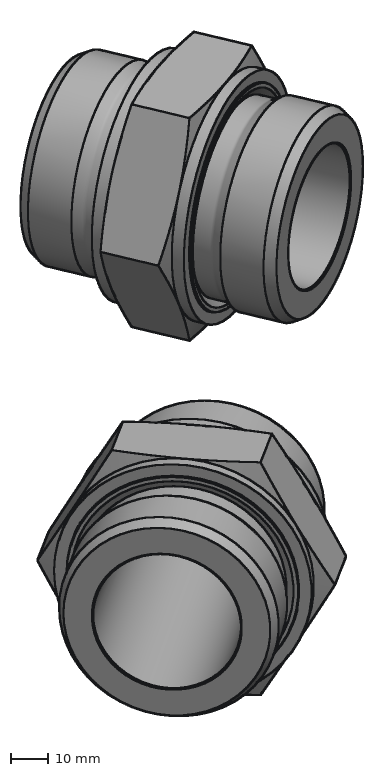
import cadquery as cq
import math

total_length = 75.0
bore_diameter = 40.0
bore_chamfer = 0.3

thread_diameter = 59.6
end_face_diameter = 56.1
neck_diameter = 55.9
thread_inner_x = 21.8
flank_angle = 30
runout_fillet = 1.8

flange_diameter = 69.8
flange_half_width = 13.5
hex_across_corners = 80.7
hex_half_width = 9.9
hex_chamfer_angle = 15

recess_diameter = 63.05
recess_depth = 2.4
seal_diameter = 62.7
seal_protrusion = 0.5
seal_mouth_diameter = 60.2
seal_countersink_depth = 1.3

half_length = total_length / 2
neck_radius = neck_diameter / 2
thread_radius = thread_diameter / 2
flange_radius = flange_diameter / 2
recess_floor_x = flange_half_width - recess_depth
seal_face_x = flange_half_width + seal_protrusion


def revolve_about_x(profile):
    """Revolve a closed XY profile, with Y as radius, about the X axis."""
    return profile.revolve(360, (0, 0, 0), (1, 0, 0))


def make_spigot_half():
    """Turned half of the body from the middle plane to the +X end."""
    slope = math.tan(math.radians(flank_angle))
    end_chamfer = (thread_diameter - end_face_diameter) / 2 / slope
    neck_end_x = thread_inner_x - (thread_radius - neck_radius) / slope

    tangent = runout_fillet * math.tan(math.radians(flank_angle / 2))
    fillet_start = (neck_end_x - tangent, neck_radius)
    fillet_end = (
        neck_end_x + tangent * math.cos(math.radians(flank_angle)),
        neck_radius + tangent * math.sin(math.radians(flank_angle)),
    )
    fillet_middle = (
        fillet_start[0] + runout_fillet * math.sin(math.radians(flank_angle / 2)),
        neck_radius + runout_fillet * (1 - math.cos(math.radians(flank_angle / 2))),
    )

    return revolve_about_x(
        cq.Workplane("XY")
        .moveTo(0, 0)
        .lineTo(0, flange_radius)
        .lineTo(flange_half_width, flange_radius)
        .lineTo(flange_half_width, recess_diameter / 2)
        .lineTo(recess_floor_x, recess_diameter / 2)
        .lineTo(recess_floor_x, neck_radius)
        .lineTo(*fillet_start)
        .threePointArc(fillet_middle, fillet_end)
        .lineTo(thread_inner_x, thread_radius)
        .lineTo(half_length - end_chamfer, thread_radius)
        .lineTo(half_length, end_face_diameter / 2)
        .lineTo(half_length, 0)
        .close()
    )


def make_hexagon():
    """Hexagon with corners on the Y axis and conically chamfered ends."""
    corner_radius = hex_across_corners / 2
    corner_drop = (corner_radius - flange_radius) * math.tan(math.radians(hex_chamfer_angle))
    corner_half_width = hex_half_width - corner_drop
    prism = (
        cq.Workplane("YZ")
        .polygon(6, hex_across_corners)
        .extrude(hex_half_width, both=True)
    )
    chamfer_envelope = revolve_about_x(
        cq.Workplane("XY").polyline([
            (-hex_half_width, 0),
            (-hex_half_width, flange_radius),
            (-corner_half_width, corner_radius),
            (corner_half_width, corner_radius),
            (hex_half_width, flange_radius),
            (hex_half_width, 0),
        ]).close()
    )
    return prism.intersect(chamfer_envelope)


def make_bore():
    """Cutter for the through bore with a small chamfer at each mouth."""
    bore_radius = bore_diameter / 2
    mouth_radius = bore_radius + bore_chamfer
    straight_end = half_length - bore_chamfer
    return revolve_about_x(
        cq.Workplane("XY").polyline([
            (-half_length, 0),
            (-half_length, mouth_radius),
            (-straight_end, bore_radius),
            (straight_end, bore_radius),
            (half_length, mouth_radius),
            (half_length, 0),
        ]).close()
    )


def make_body():
    """Double-ended threaded connector with its hexagon."""
    half = make_spigot_half()
    return half.union(half.mirror("YZ")).union(make_hexagon()).cut(make_bore())


def make_seal_ring(side):
    """Seal ring for the +X (side = 1) or -X (side = -1) flange face."""
    return revolve_about_x(
        cq.Workplane("XY").polyline([
            (side * recess_floor_x, neck_radius),
            (side * recess_floor_x, seal_diameter / 2),
            (side * seal_face_x, seal_diameter / 2),
            (side * seal_face_x, seal_mouth_diameter / 2),
            (side * (seal_face_x - seal_countersink_depth), neck_radius),
        ]).close()
    )


body = make_body()
seal_rings = [make_seal_ring(side) for side in (-1, 1)]

result = cq.Compound.makeCompound([body.val(), *[ring.val() for ring in seal_rings]])